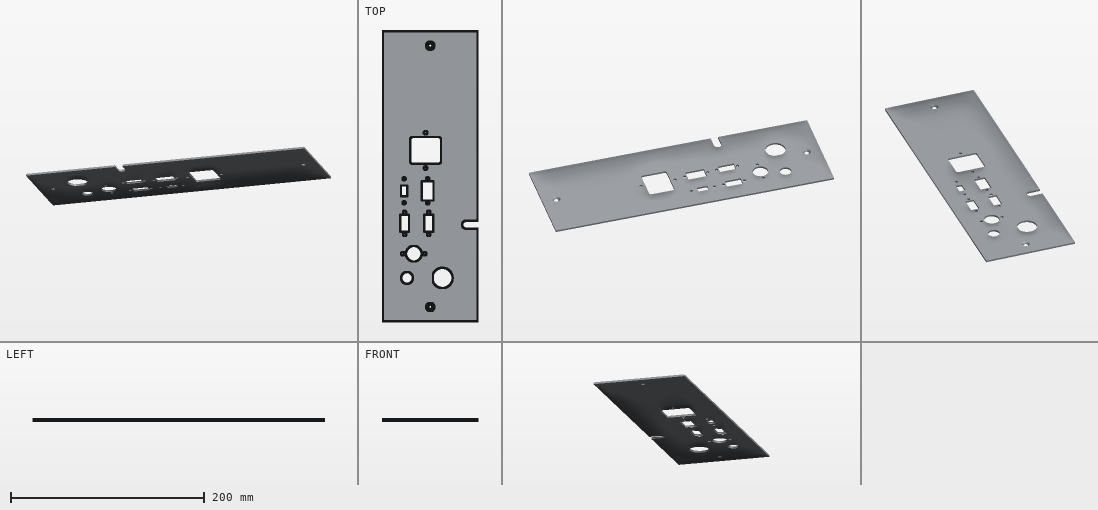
import cadquery as cq
import math

WIDTH = 98.0
LENGTH = 300.0
THICKNESS = 2.0

MOUNT_SPACING = 270.0
MOUNT_HOLE_D = 4.5
MOUNT_SINK_D = 8.6
MOUNT_SINK_ANGLE = 90.0

INLET_CENTRE = (-4.8, 26.8)
INLET_WIDTH = 31.6
INLET_HEIGHT = 27.2
INLET_CORNER_R = 2.0
INLET_SCREW_SPACING = 36.5
INLET_SCREW_D = 3.4

UPPER_ROW_Y = -15.0
UPPER_SCREW_SPACING = 24.8
UPPER_SCREW_D = 3.0
SMALL_X = -27.0
SMALL_WIDTH = 6.4
SMALL_HEIGHT = 11.0
LARGE_X = -2.7
LARGE_WIDTH = 11.8
LARGE_HEIGHT = 19.8

PAIR_Y = -48.55
PAIR_CENTRE_X = -14.0
PAIR_PITCH = 25.0
PAIR_WIDTH = 9.0
PAIR_HEIGHT = 17.2
PAIR_SCREW_SPACING = 22.6
PAIR_SCREW_D = 3.3

ROUND_CENTRE = (-17.0, -80.0)
ROUND_D = 16.0
ROUND_SCREW_SPACING = 22.6
ROUND_SCREW_D = 3.5

LOWER_ROW_Y = -105.0
SMALL_HOLE_X = -24.0
SMALL_HOLE_D = 12.0
BIG_HOLE_X = 12.6
BIG_HOLE_D = 20.8
BIG_HOLE_FLAT_OFFSET = 9.6

SLOT_Y = -50.0
SLOT_WIDTH = 8.0
SLOT_DEPTH = 16.0


def cut_hole(panel, x, y, diameter):
    """Drill a through hole."""
    drill = cq.Workplane("XY").center(x, y).circle(diameter / 2).extrude(THICKNESS)
    return panel.cut(drill)


def cut_flatted_hole(panel, x, y, diameter, flat_offset):
    """Cut a through hole whose -X side is a flat at the given distance from its centre."""
    radius = diameter / 2
    flat_x = x - flat_offset
    half_flat = math.sqrt(radius**2 - flat_offset**2)
    opening = (
        cq.Workplane("XY")
        .moveTo(flat_x, y - half_flat)
        .threePointArc((x + radius, y), (flat_x, y + half_flat))
        .close()
        .extrude(THICKNESS)
    )
    return panel.cut(opening)


def cut_window(panel, x, y, width, height, corner_radius=0.0):
    """Cut a rectangular window, with rounded corners if a radius is given."""
    window = cq.Workplane("XY").center(x, y).rect(width, height).extrude(THICKNESS)
    if corner_radius > 0:
        window = window.edges("|Z").fillet(corner_radius)
    return panel.cut(window)


def cut_screws_above_below(panel, x, y, spacing, diameter):
    """Drill two screw holes spaced along Y about a connector centre."""
    for side in (-1, 1):
        panel = cut_hole(panel, x, y + side * spacing / 2, diameter)
    return panel


def cut_power_inlet(panel):
    x, y = INLET_CENTRE
    panel = cut_window(panel, x, y, INLET_WIDTH, INLET_HEIGHT, INLET_CORNER_R)
    return cut_screws_above_below(panel, x, y, INLET_SCREW_SPACING, INLET_SCREW_D)


def cut_upper_row(panel):
    connectors = (
        (SMALL_X, SMALL_WIDTH, SMALL_HEIGHT),
        (LARGE_X, LARGE_WIDTH, LARGE_HEIGHT),
    )
    for x, width, height in connectors:
        panel = cut_window(panel, x, UPPER_ROW_Y, width, height)
        panel = cut_screws_above_below(panel, x, UPPER_ROW_Y, UPPER_SCREW_SPACING, UPPER_SCREW_D)
    return panel


def cut_connector_pair(panel):
    for side in (-1, 1):
        x = PAIR_CENTRE_X + side * PAIR_PITCH / 2
        panel = cut_window(panel, x, PAIR_Y, PAIR_WIDTH, PAIR_HEIGHT)
        panel = cut_screws_above_below(panel, x, PAIR_Y, PAIR_SCREW_SPACING, PAIR_SCREW_D)
    return panel


def cut_round_connector(panel):
    x, y = ROUND_CENTRE
    panel = cut_hole(panel, x, y, ROUND_D)
    for side in (-1, 1):
        panel = cut_hole(panel, x + side * ROUND_SCREW_SPACING / 2, y, ROUND_SCREW_D)
    return panel


def cut_lower_holes(panel):
    panel = cut_hole(panel, SMALL_HOLE_X, LOWER_ROW_Y, SMALL_HOLE_D)
    return cut_flatted_hole(panel, BIG_HOLE_X, LOWER_ROW_Y, BIG_HOLE_D, BIG_HOLE_FLAT_OFFSET)


def cut_edge_slot(panel):
    end_radius = SLOT_WIDTH / 2
    edge_x = WIDTH / 2
    arc_centre_x = edge_x - SLOT_DEPTH + end_radius
    slot = (
        cq.Workplane("XY")
        .moveTo(edge_x, SLOT_Y + end_radius)
        .lineTo(arc_centre_x, SLOT_Y + end_radius)
        .threePointArc((edge_x - SLOT_DEPTH, SLOT_Y), (arc_centre_x, SLOT_Y - end_radius))
        .lineTo(edge_x, SLOT_Y - end_radius)
        .close()
        .extrude(THICKNESS)
    )
    return panel.cut(slot)


def cut_mounting_holes(panel):
    return (
        panel.faces(">Z")
        .workplane(origin=(0, 0, THICKNESS))
        .pushPoints([(0, -MOUNT_SPACING / 2), (0, MOUNT_SPACING / 2)])
        .cskHole(MOUNT_HOLE_D, MOUNT_SINK_D, MOUNT_SINK_ANGLE)
    )


result = cq.Workplane("XY").box(WIDTH, LENGTH, THICKNESS, centered=(True, True, False))
result = cut_mounting_holes(result)
result = cut_power_inlet(result)
result = cut_upper_row(result)
result = cut_connector_pair(result)
result = cut_round_connector(result)
result = cut_lower_holes(result)
result = cut_edge_slot(result)